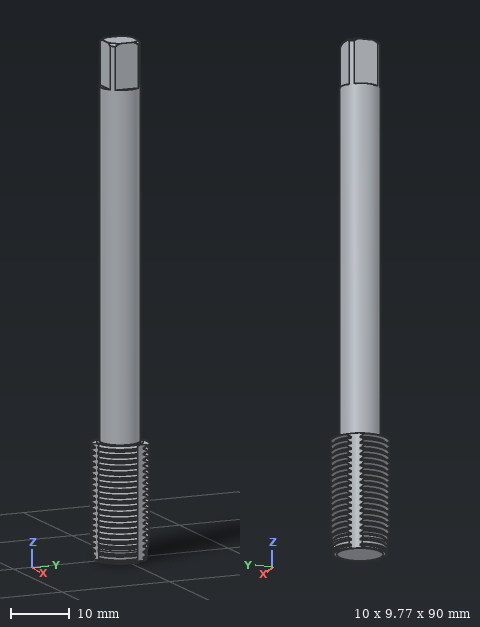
import cadquery as cq
import math

TOTAL_LENGTH = 90.0
FULL_TURN = 360.0

SHANK_DIAMETER = 7.0
SQUARE_ACROSS_FLATS = 5.6
SQUARE_LENGTH = 8.0
SQUARE_END_CHAMFER = 0.45

CORE_DIAMETER = 7.9

THREAD_DIAMETER = 10.0
THREAD_LENGTH = 20.0
THREAD_COUNT = 20
THREAD_PITCH = THREAD_LENGTH / THREAD_COUNT
THREAD_DEPTH = 0.6
THREAD_FLANK_ANGLE = 30.0
CREST_FLAT = THREAD_PITCH / 8
SHOULDER_RISE = 0.45

LEAD_PITCHES = 4
LEAD_LENGTH = LEAD_PITCHES * THREAD_PITCH
LEAD_END_DIAMETER = 9.0

FLUTE_COUNT = 3
FLUTE_RADIUS = 2.0
FLUTE_FLOOR_RADIUS = 4.1
FIRST_FLUTE_ANGLE = -90.0

SHANK_RADIUS = SHANK_DIAMETER / 2
CORE_RADIUS = CORE_DIAMETER / 2
CREST_RADIUS = THREAD_DIAMETER / 2
SHOULDER_TOP = THREAD_LENGTH + SHOULDER_RISE


def shoulder_height(radius):
    """Height of the conical shoulder at a given radius, from the shank out to the crest."""
    outward = (radius - SHANK_RADIUS) / (CREST_RADIUS - SHANK_RADIUS)
    return SHOULDER_TOP - outward * SHOULDER_RISE


def revolved(profile):
    """Solid of revolution about Z of a closed (radius, height) outline."""
    return cq.Workplane("XZ").polyline(profile).close().revolve(FULL_TURN, (0, 0), (0, 1))


def make_square_drive_cut():
    """Material outside the square, over the drive end of the shank."""
    square_base = TOTAL_LENGTH - SQUARE_LENGTH
    ring = cq.Workplane("XY").workplane(offset=square_base).circle(SHANK_DIAMETER)
    return ring.rect(SQUARE_ACROSS_FLATS, SQUARE_ACROSS_FLATS).extrude(SQUARE_LENGTH)


def make_shank():
    """Shank with its square drive, its share of the shoulder and the core inside the sleeve."""
    body = revolved([
        (0, 0),
        (CORE_RADIUS, 0),
        (CORE_RADIUS, shoulder_height(CORE_RADIUS)),
        (SHANK_RADIUS, SHOULDER_TOP),
        (SHANK_RADIUS, TOTAL_LENGTH - SQUARE_END_CHAMFER),
        (SHANK_RADIUS - SQUARE_END_CHAMFER, TOTAL_LENGTH),
        (0, TOTAL_LENGTH),
    ])
    return body.cut(make_square_drive_cut())


def make_sleeve_blank():
    """Plain sleeve around the core: conical shoulder on top, tapered lead at the bottom."""
    return revolved([
        (CORE_RADIUS, 0),
        (LEAD_END_DIAMETER / 2, 0),
        (CREST_RADIUS, LEAD_LENGTH),
        (CREST_RADIUS, THREAD_LENGTH),
        (CORE_RADIUS, shoulder_height(CORE_RADIUS)),
    ])


def make_threads():
    """Ring threads as one revolved stack of crests and roots."""
    root_radius = CREST_RADIUS - THREAD_DEPTH
    half_crest = CREST_FLAT / 2
    half_base = half_crest + THREAD_DEPTH * math.tan(math.radians(THREAD_FLANK_ANGLE))
    profile = [(0, 0), (CREST_RADIUS, 0), (CREST_RADIUS, half_crest)]
    for i in range(THREAD_COUNT):
        lower_crest = i * THREAD_PITCH
        upper_crest = lower_crest + THREAD_PITCH
        profile += [
            (root_radius, lower_crest + half_base),
            (root_radius, upper_crest - half_base),
            (CREST_RADIUS, upper_crest - half_crest),
            (CREST_RADIUS, upper_crest + half_crest),
        ]
    profile += [(CREST_RADIUS, SHOULDER_TOP), (0, SHOULDER_TOP)]
    return revolved(profile)


def make_flutes():
    """Round-bottomed flutes, evenly spaced, over the whole threaded length."""
    return (
        cq.Workplane("XY")
        .polarArray(FLUTE_FLOOR_RADIUS + FLUTE_RADIUS, FIRST_FLUTE_ANGLE, FULL_TURN, FLUTE_COUNT)
        .circle(FLUTE_RADIUS)
        .extrude(SHOULDER_TOP)
    )


def make_threaded_sleeve():
    """Sleeve around the core, with ring threads and flutes cut into it."""
    return make_sleeve_blank().intersect(make_threads()).cut(make_flutes())


shank = make_shank()
threaded_sleeve = make_threaded_sleeve()

result = cq.Compound.makeCompound([shank.val(), threaded_sleeve.val()])